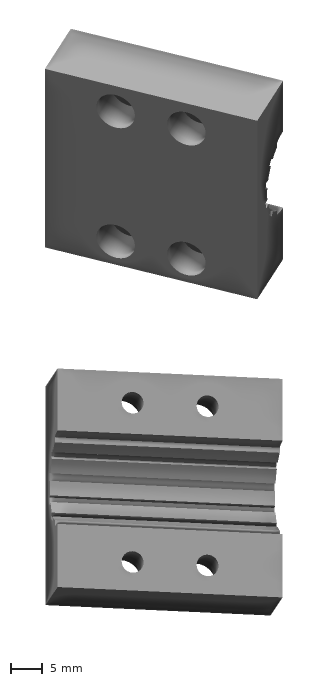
import cadquery as cq
import math

length = 36
thickness = 11.05
height = 35.68

axis_offset = 0.1
tip_radius = 6.85
root_radius = 7.65
relief_depth = 2.55
groove_count = 4
groove_pitch = 30
groove_width = 10

hole_diameter = 3.5
counterbore_diameter = 6.5
counterbore_depth = 6.0
hole_pitch_x = 12.0
hole_pitch_z = 26.0
hole_offset = -0.18


def channel_rod(radius):
    """Full-length round bar about the X axis."""
    return cq.Workplane("YZ").circle(radius).extrude(length / 2, both=True)


def groove_wedge(angle):
    """Wedge from the X axis towards -Y, one groove wide, turned by an angle about X."""
    reach = 2 * root_radius
    half_span = reach * math.tan(math.radians(groove_width / 2))
    wedge = (
        cq.Workplane("YZ")
        .polyline([(0, 0), (-reach, half_span), (-reach, -half_span)])
        .close()
        .extrude(length / 2, both=True)
    )
    return wedge.rotate((0, 0, 0), (1, 0, 0), angle)


def toothed_channel():
    """Everything the channel removes, with its axis moved onto the +Y face."""
    root_rod = channel_rod(root_radius)
    relief = cq.Workplane("XY").box(length, 2 * relief_depth, 2 * root_radius)
    channel = channel_rod(tip_radius).union(root_rod.intersect(relief))
    for index in range(groove_count):
        angle = (index - (groove_count - 1) / 2) * groove_pitch
        channel = channel.union(root_rod.intersect(groove_wedge(angle)))
    return channel.translate((0, thickness / 2, axis_offset))


block = cq.Workplane("XY").box(length, thickness, height)

result = (
    block.cut(toothed_channel())
    .faces("<Y")
    .workplane(origin=(0, 0, hole_offset))
    .rarray(hole_pitch_x, hole_pitch_z, 2, 2)
    .cboreHole(hole_diameter, counterbore_diameter, counterbore_depth)
)